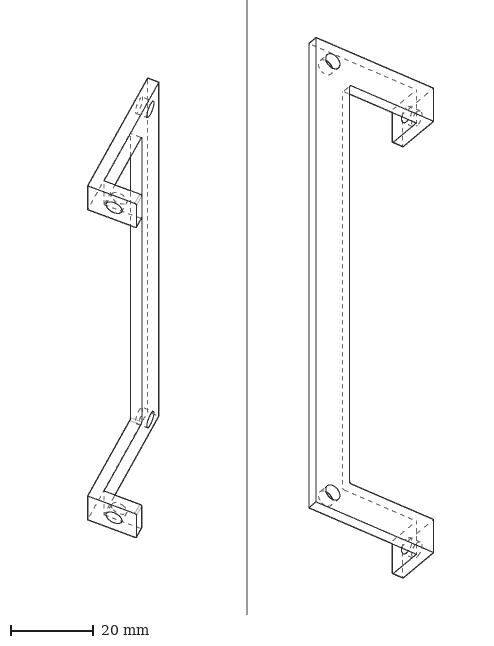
import cadquery as cq

width = 13.0
depth = 35.0
height = 140.0

thickness = 3.0
arm_height = 10.0
spine_depth = 10.0

inner_corner_radius = 0.5
tab_corner_radius = 0.5

hole_diameter = 4.2
hole_end_offset = arm_height / 2
spine_hole_y = depth - spine_depth / 2
tab_hole_x = 7.0

arm_base_heights = (0.0, height - arm_height)


def make_plate():
    """C-shaped plate: a tall spine at +Y with an arm at each end."""
    plate = cq.Workplane("XY").box(thickness, depth, height, centered=False)
    window_depth = depth - spine_depth
    window_height = height - 2 * arm_height
    window = (
        cq.Workplane("XY", origin=(0, 0, arm_height))
        .box(thickness, window_depth, window_height, centered=False)
        .edges("|X and >Y")
        .fillet(inner_corner_radius)
    )
    return plate.cut(window)


def make_tab(base_z):
    """Mounting tab turned toward +X at the free end of an arm, with rounded outer corners."""
    return (
        cq.Workplane("XY", origin=(0, 0, base_z))
        .box(width, thickness, arm_height, centered=False)
        .edges("|Y and >X")
        .fillet(tab_corner_radius)
    )


def make_hole_cutter(start, direction):
    """Cylinder through the plate thickness, from a point on the outer face."""
    cylinder = cq.Solid.makeCylinder(
        hole_diameter / 2, thickness, cq.Vector(*start), cq.Vector(*direction)
    )
    return cq.Workplane(cylinder)


result = make_plate()
for base_z in arm_base_heights:
    result = result.union(make_tab(base_z))

for base_z in arm_base_heights:
    hole_z = base_z + hole_end_offset
    result = result.cut(make_hole_cutter((0, spine_hole_y, hole_z), (1, 0, 0)))
    result = result.cut(make_hole_cutter((tab_hole_x, 0, hole_z), (0, 1, 0)))